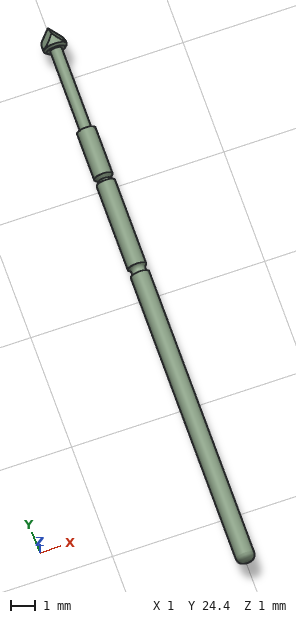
import cadquery as cq
import math

TOTAL_LENGTH = 24.4
HEAD_LENGTH = 1.0
END_ROUND_LENGTH = 0.27
SLEEVE_FRONT = 19.7
FRONT_GROOVE_CENTER = 17.45
FRONT_GROOVE_HALF_WIDTH = 0.15
REAR_GROOVE_CENTER = 13.3
REAR_GROOVE_HALF_WIDTH = 0.18

HEAD_RADIUS = 0.5
PLUNGER_RADIUS = 0.25
SLEEVE_RADIUS = 0.4
FRONT_GROOVE_DEPTH = 0.14
REAR_GROOVE_DEPTH = 0.1
END_FLAT_RADIUS = 0.13

POINT_SIDES = 3
POINT_FACE_ANGLE = 30.0
HEAD_CHAMFER = 0.1


def axial_cylinder(radius, y_start, y_end):
    """Solid cylinder along +Y between two positions."""
    return cq.Workplane("XZ", origin=(0, y_start, 0)).circle(radius).extrude(-(y_end - y_start))


def sleeve():
    """Barrel with a domed back end and two crimp grooves, revolved about the Y axis."""
    bulge_r = END_FLAT_RADIUS + (SLEEVE_RADIUS - END_FLAT_RADIUS) * math.sin(math.pi / 4)
    bulge_y = END_ROUND_LENGTH * (1 - math.cos(math.pi / 4))
    profile = (
        cq.Workplane("XY")
        .lineTo(END_FLAT_RADIUS, 0)
        .threePointArc((bulge_r, bulge_y), (SLEEVE_RADIUS, END_ROUND_LENGTH))
        .lineTo(SLEEVE_RADIUS, REAR_GROOVE_CENTER - REAR_GROOVE_HALF_WIDTH)
        .threePointArc(
            (SLEEVE_RADIUS - REAR_GROOVE_DEPTH, REAR_GROOVE_CENTER),
            (SLEEVE_RADIUS, REAR_GROOVE_CENTER + REAR_GROOVE_HALF_WIDTH),
        )
        .lineTo(SLEEVE_RADIUS, FRONT_GROOVE_CENTER - FRONT_GROOVE_HALF_WIDTH)
        .lineTo(SLEEVE_RADIUS - FRONT_GROOVE_DEPTH, FRONT_GROOVE_CENTER)
        .lineTo(SLEEVE_RADIUS, FRONT_GROOVE_CENTER + FRONT_GROOVE_HALF_WIDTH)
        .lineTo(SLEEVE_RADIUS, SLEEVE_FRONT)
        .lineTo(0, SLEEVE_FRONT)
        .close()
    )
    return profile.revolve(360, (0, 0, 0), (0, 1, 0))


def head():
    """Round head with a chamfered back rim, cut to a three-sided point with one edge toward +Z."""
    head_back = TOTAL_LENGTH - HEAD_LENGTH
    blank = axial_cylinder(HEAD_RADIUS, head_back, TOTAL_LENGTH).faces("<Y").edges().chamfer(HEAD_CHAMFER)
    face_distance = HEAD_LENGTH * math.tan(math.radians(POINT_FACE_ANGLE))
    edge_distance = face_distance / math.cos(math.pi / POINT_SIDES)
    corners = []
    for i in range(POINT_SIDES):
        angle = math.pi / 2 + i * 2 * math.pi / POINT_SIDES
        corners.append((edge_distance * math.cos(angle), edge_distance * math.sin(angle)))
    pyramid = (
        cq.Workplane("XZ", origin=(0, head_back, 0))
        .polyline(corners)
        .close()
        .extrude(-HEAD_LENGTH, taper=POINT_FACE_ANGLE)
    )
    return blank.intersect(pyramid)


def plunger():
    """Thin rod joining the sleeve to the head."""
    return axial_cylinder(PLUNGER_RADIUS, SLEEVE_FRONT, TOTAL_LENGTH - HEAD_LENGTH)


result = sleeve().union(plunger()).union(head())